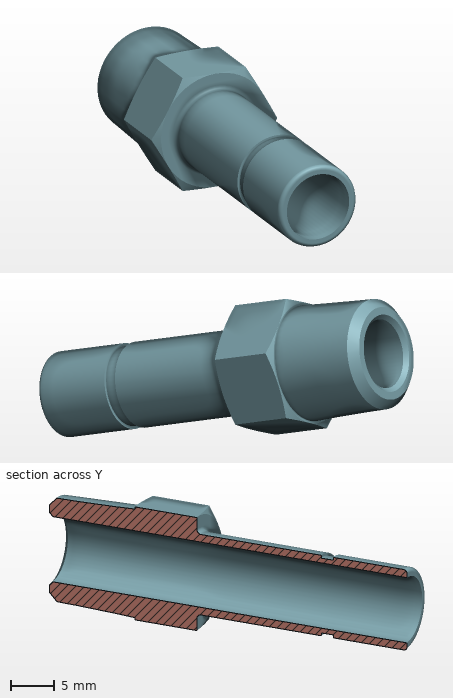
import cadquery as cq
import math

total_length = 46.0
bore_diameter = 8.0
bore_radius = bore_diameter / 2

thread_length = 11.0
thread_chamfer = 1.0
thread_taper = 1 / 16
gauge_diameter = 13.157
gauge_length = 6.0
bore_chamfer = 0.5

hex_across_flats = 14.0
hex_length = 8.0
hex_across_corners = hex_across_flats / math.cos(math.pi / 6)
hex_end = thread_length + hex_length
hex_chamfer_start_radius = hex_across_flats / 2
hex_chamfer_angle = math.radians(20)

stem_diameter = 10.0
stem_radius = stem_diameter / 2
stem_end_fillet = 0.5
neck_fillet = 0.5
groove_diameter = 9.3
groove_start = 35.0
groove_width = 1.5


def revolve_about_x(outline):
    """Turn a closed (X, radius) outline around the X axis."""
    return outline.close().revolve(360, (0, 0, 0), (1, 0, 0))


def thread_radius(x):
    """Radius of the thread cone at distance x from its tip."""
    return (gauge_diameter + (x - gauge_length) * thread_taper) / 2


def make_threaded_end():
    return revolve_about_x(
        cq.Workplane("XY")
        .moveTo(0, 0)
        .lineTo(0, thread_radius(0) - thread_chamfer)
        .lineTo(thread_chamfer, thread_radius(thread_chamfer))
        .lineTo(thread_length, thread_radius(thread_length))
        .lineTo(thread_length, 0)
    )


def make_hexagon():
    """Hexagon with two corners on the Y axis, its corners turned down at both ends."""
    prism = (
        cq.Workplane("YZ", origin=(thread_length, 0, 0))
        .polygon(6, hex_across_corners)
        .extrude(hex_length)
    )
    corner_radius = hex_across_corners / 2
    chamfer_length = (corner_radius - hex_chamfer_start_radius) * math.tan(hex_chamfer_angle)
    envelope = revolve_about_x(
        cq.Workplane("XY")
        .moveTo(thread_length, 0)
        .lineTo(thread_length, hex_chamfer_start_radius)
        .lineTo(thread_length + chamfer_length, corner_radius)
        .lineTo(hex_end - chamfer_length, corner_radius)
        .lineTo(hex_end, hex_chamfer_start_radius)
        .lineTo(hex_end, 0)
    )
    return prism.intersect(envelope)


def make_stem():
    stem = (
        cq.Workplane("YZ", origin=(hex_end, 0, 0))
        .circle(stem_radius)
        .extrude(total_length - hex_end)
        .faces(">X")
        .edges()
        .fillet(stem_end_fillet)
    )
    neck = revolve_about_x(
        cq.Workplane("XY")
        .moveTo(hex_end, 0)
        .lineTo(hex_end, stem_radius + neck_fillet)
        .radiusArc((hex_end + neck_fillet, stem_radius), -neck_fillet)
        .lineTo(hex_end + neck_fillet, 0)
    )
    groove = (
        cq.Workplane("YZ", origin=(groove_start, 0, 0))
        .circle(stem_radius)
        .circle(groove_diameter / 2)
        .extrude(groove_width)
    )
    return stem.union(neck).cut(groove)


def make_bore():
    """Through bore with a chamfered mouth at the threaded end."""
    return revolve_about_x(
        cq.Workplane("XY")
        .moveTo(0, 0)
        .lineTo(0, bore_radius + bore_chamfer)
        .lineTo(bore_chamfer, bore_radius)
        .lineTo(total_length, bore_radius)
        .lineTo(total_length, 0)
    )


result = make_threaded_end().union(make_hexagon()).union(make_stem()).cut(make_bore())